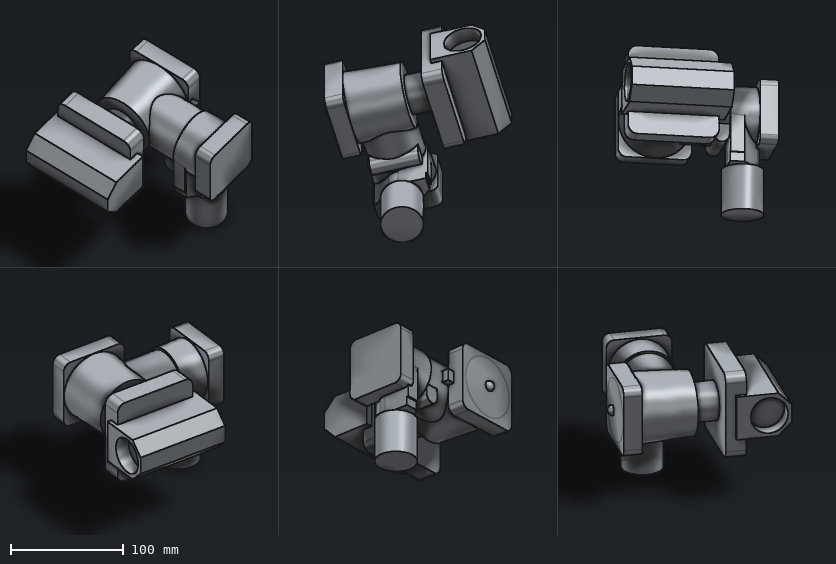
import cadquery as cq
import math


ARM_RADIUS = 26.0

WRIST_BASE_Y = -ARM_RADIUS
WRIST_CAP_Y = ARM_RADIUS
WRIST_BASE_RADIUS = 30.0
WRIST_TOP_RADIUS = 32.7
WRIST_CAP_SIDE = 66.3
WRIST_CAP_CORNER = 7.4
CAP_THICKNESS = 16.8

DOME_RADIUS = 29.1
DOME_HEIGHT = 2.2
BUTTON_RADIUS = 4.9
BUTTON_EDGE_HEIGHT = 2.8
BUTTON_TOP_HEIGHT = 6.8

BLOCK_END_X = 40.8
BLOCK_BACK_Y = 32.5
BLOCK_FRONT_Y = 22.0
BLOCK_HEIGHT = 11.3

ELBOW_BASE_X = 58.4
ELBOW_CAP_X = 84.8
ELBOW_BASE_RADIUS = 27.9
ELBOW_TOP_RADIUS = 28.5
ELBOW_CAP_SIDE = 60.0
ELBOW_CAP_CORNER = 7.1

NECK_DEPTH = 48.2
NECK_END_X = 89.1
NECK_HALF_WIDTH = ARM_RADIUS
NECK_ROUND = 14.2
PAD_WIDTH = 12.9
PAD_HALF_SPAN = 27.5
PAD_DEPTH = 39.8

TAB_WIDTH = 14.0
TAB_BOTTOM_Z = -29.6
TAB_HALF_SPAN = 22.5

POST_X = 74.0
POST_RADIUS = 19.0
POST_LENGTH = 41.7

STEM_CLEARANCE = 0.5
STEM_RADIUS = 18.1
FLANGE_BACK_Y = -48.2
FLANGE_THICKNESS = 19.0
FLANGE_SIDE = 81.8
FLANGE_CORNER = 8.2
GRIP_START_X = -44.9
GRIP_LENGTH = 92.2
GRIP_BACK_Y = -57.5
GRIP_FRONT_Y = -107.8
GRIP_HEIGHT = 41.2
GRIP_CHAMFER_Y = 12.3
GRIP_CHAMFER_Z = 12.1
BORE_Y = -87.2
BORE_RADIUS = 17.0
BORE_DEPTH = 13.9


def capped_barrel(base_plane, length, base_radius, top_radius, cap_side, cap_corner):
    """Tapered barrel that grows from base_plane along its normal and ends in a rounded square cap."""
    barrel = cq.Workplane(base_plane).circle(base_radius)
    barrel = barrel.workplane(offset=length).circle(top_radius).loft(ruled=True)
    cap = cq.Workplane(base_plane).workplane(offset=length).rect(cap_side, cap_side).extrude(CAP_THICKNESS)
    cap = cap.edges(cq.selectors.ParallelDirSelector(base_plane.zDir)).fillet(cap_corner)
    return barrel.union(cap)


def dome_and_button():
    """Spherical dome with a round-topped button, turned about the wrist axis."""
    cap_face_y = WRIST_CAP_Y + CAP_THICKNESS
    dome_sphere = (DOME_RADIUS**2 + DOME_HEIGHT**2) / (2 * DOME_HEIGHT)
    dome = cq.Workplane("XY").sphere(dome_sphere).translate((0, cap_face_y + DOME_HEIGHT - dome_sphere, 0))
    outside_cap = cq.Workplane("XZ", origin=(0, cap_face_y, 0)).circle(DOME_RADIUS).extrude(-2 * DOME_HEIGHT)
    dome = dome.intersect(outside_cap)

    edge_y = cap_face_y + BUTTON_EDGE_HEIGHT
    top_y = cap_face_y + BUTTON_TOP_HEIGHT
    rise = top_y - edge_y
    sphere = (BUTTON_RADIUS**2 + rise**2) / (2 * rise)
    half_angle = math.asin(BUTTON_RADIUS / sphere) / 2
    middle = (sphere * math.sin(half_angle), top_y - sphere * (1 - math.cos(half_angle)))
    button = (
        cq.Workplane("XY")
        .moveTo(0, cap_face_y)
        .lineTo(BUTTON_RADIUS, cap_face_y)
        .lineTo(BUTTON_RADIUS, edge_y)
        .threePointArc(middle, (0, top_y))
        .close()
        .revolve(360, (0, 0, 0), (0, 1, 0))
    )
    return dome.union(button)


def wrist_housing():
    base = cq.Plane(origin=(0, WRIST_BASE_Y, 0), xDir=(1, 0, 0), normal=(0, 1, 0))
    length = WRIST_CAP_Y - WRIST_BASE_Y
    housing = capped_barrel(
        base, length, WRIST_BASE_RADIUS, WRIST_TOP_RADIUS, WRIST_CAP_SIDE, WRIST_CAP_CORNER
    )
    block = cq.Workplane("XY").box(
        BLOCK_END_X, BLOCK_BACK_Y - BLOCK_FRONT_Y, BLOCK_HEIGHT, centered=(False, False, True)
    )
    return housing.union(dome_and_button()).union(block.translate((0, BLOCK_FRONT_Y, 0)))


def arm(wrist):
    """Round arm that ends on the wrist housing, with a round-ended tab below."""
    tube = cq.Workplane("YZ").circle(ARM_RADIUS).extrude(ELBOW_BASE_X)
    tab_x = ELBOW_BASE_X - TAB_WIDTH / 2
    tab_round_z = TAB_BOTTOM_Z + TAB_WIDTH / 2
    tab = (
        cq.Workplane("XZ")
        .moveTo(tab_x - TAB_WIDTH / 2, 0)
        .lineTo(tab_x - TAB_WIDTH / 2, tab_round_z)
        .threePointArc((tab_x, TAB_BOTTOM_Z), (tab_x + TAB_WIDTH / 2, tab_round_z))
        .lineTo(tab_x + TAB_WIDTH / 2, 0)
        .close()
        .extrude(TAB_HALF_SPAN, both=True)
    )
    return tube.union(tab).cut(wrist)


def neck():
    """Neck that looks the same after half a turn: two slanted sides, each running into a round."""
    middle_x = (ELBOW_BASE_X + NECK_END_X) / 2
    half_length = NECK_END_X - middle_x

    flat_end = (PAD_WIDTH - half_length, -NECK_HALF_WIDTH)
    round_x = half_length - NECK_ROUND
    reach = math.hypot(flat_end[0] - round_x, flat_end[1])
    tangent_angle = math.atan2(flat_end[1], flat_end[0] - round_x) + math.acos(NECK_ROUND / reach)

    def on_round(angle):
        return (round_x + NECK_ROUND * math.cos(angle), NECK_ROUND * math.sin(angle))

    def turned(point):
        return (-point[0], -point[1])

    tangent = on_round(tangent_angle)
    midway = on_round(tangent_angle / 2)
    tip = (half_length, 0)
    corner = (half_length, NECK_HALF_WIDTH)
    body = (
        cq.Workplane("XY", origin=(middle_x, 0, -NECK_DEPTH))
        .moveTo(*flat_end)
        .lineTo(*tangent)
        .threePointArc(midway, tip)
        .lineTo(*corner)
        .lineTo(*turned(flat_end))
        .lineTo(*turned(tangent))
        .threePointArc(turned(midway), turned(tip))
        .lineTo(*turned(corner))
        .close()
        .extrude(NECK_DEPTH)
    )
    for side in (-1, 1):
        pad = cq.Workplane("XY").box(PAD_WIDTH, PAD_HALF_SPAN, PAD_DEPTH)
        pad_x = middle_x + side * (half_length - PAD_WIDTH / 2)
        body = body.union(pad.translate((pad_x, side * PAD_HALF_SPAN / 2, -PAD_DEPTH / 2)))
    return body


def elbow_housing():
    base = cq.Plane(origin=(ELBOW_BASE_X, 0, 0), xDir=(0, 1, 0), normal=(1, 0, 0))
    length = ELBOW_CAP_X - ELBOW_BASE_X
    housing = capped_barrel(
        base, length, ELBOW_BASE_RADIUS, ELBOW_TOP_RADIUS, ELBOW_CAP_SIDE, ELBOW_CAP_CORNER
    )
    return housing.union(neck())


def post():
    return cq.Workplane("XY", origin=(POST_X, 0, -NECK_DEPTH)).circle(POST_RADIUS).extrude(-POST_LENGTH)


def holder():
    flange = cq.Workplane("XZ", origin=(0, FLANGE_BACK_Y, 0)).rect(FLANGE_SIDE, FLANGE_SIDE)
    flange = flange.extrude(FLANGE_THICKNESS).edges("|Y").fillet(FLANGE_CORNER)

    stem_end_y = WRIST_BASE_Y - STEM_CLEARANCE
    stem = cq.Workplane("XZ", origin=(0, stem_end_y, 0)).circle(STEM_RADIUS)
    stem = stem.extrude(stem_end_y - FLANGE_BACK_Y)

    half_height = GRIP_HEIGHT / 2
    half_front = half_height - GRIP_CHAMFER_Z
    chamfer_y = GRIP_FRONT_Y + GRIP_CHAMFER_Y
    grip_outline = [
        (GRIP_BACK_Y, half_height),
        (chamfer_y, half_height),
        (GRIP_FRONT_Y, half_front),
        (GRIP_FRONT_Y, -half_front),
        (chamfer_y, -half_height),
        (GRIP_BACK_Y, -half_height),
    ]
    grip_end = cq.Workplane("YZ", origin=(GRIP_START_X, 0, 0))
    grip = grip_end.polyline(grip_outline).close().extrude(GRIP_LENGTH)
    bore = grip_end.center(BORE_Y, 0).circle(BORE_RADIUS).extrude(BORE_DEPTH)
    return flange.union(stem).union(grip).cut(bore)


wrist = wrist_housing()
result = cq.Compound.makeCompound(
    [
        holder().val(),
        wrist.val(),
        arm(wrist).val(),
        elbow_housing().val(),
        post().val(),
    ]
)